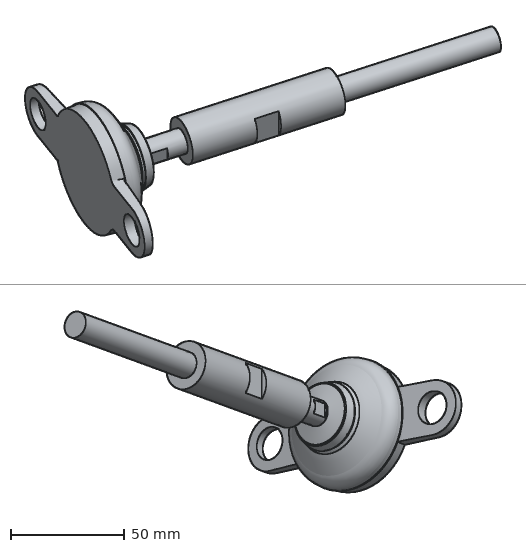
import cadquery as cq
import math


skirt_bottom_radius = 29.2
skirt_top_radius = 29.6
skirt_height = 6.3
rim_radius = 30.0
rim_top = 9.3
rim_top_radius = 29.8
shoulder_mid_radius = 28.6
shoulder_mid_height = 12.5
shoulder_radius = 25.2
shoulder_height = 15.2
slope_mid_radius = 21.1
slope_mid_height = 17.9
throat_radius = 16.5
throat_height = 19.9
neck_radius = 15.0
neck_start = 21.1

overall_width = 116.0
lug_radius = 12.5
lug_centre = overall_width / 2 - lug_radius
lug_hole_diameter = 15.0
lug_root_height = 5.9
lug_tip_height = 4.0
lug_root_fillet = 4.0

overall_length = 203.0
rod_radius = 12.0 / 2
collar_bottom = 22.3
collar_lip = 0.5
collar_bottom_radius = 15.6
collar_top = 27.2
collar_top_radius = 14.5
collar_edge_drop = 0.5
collar_edge_inset = 0.6
cone_top = 29.0
sleeve_bottom = 48.0
sleeve_length = 75.5
sleeve_top = sleeve_bottom + sleeve_length
sleeve_radius = 22.0 / 2

rod_flat_bottom = 30.0
rod_flat_length = 8.1
rod_flat_width = 10.2
sleeve_flat_length = 11.8
sleeve_flat_width = 17.0
sleeve_flat_bottom = sleeve_bottom + (sleeve_length - sleeve_flat_length) / 2


def revolve_about_y(half_profile):
    """Turn a closed profile of (radius, height) around the Y axis."""
    return half_profile.revolve(360, (0, 0, 0), (0, 1, 0))


def make_dome():
    profile = (
        cq.Workplane("XY")
        .lineTo(skirt_bottom_radius, 0)
        .lineTo(skirt_top_radius, skirt_height)
        .lineTo(rim_radius, skirt_height)
        .lineTo(rim_top_radius, rim_top)
        .threePointArc((shoulder_mid_radius, shoulder_mid_height), (shoulder_radius, shoulder_height))
        .threePointArc((slope_mid_radius, slope_mid_height), (throat_radius, throat_height))
        .lineTo(neck_radius, neck_start)
        .lineTo(neck_radius, collar_bottom)
        .lineTo(0, collar_bottom)
        .close()
    )
    return revolve_about_y(profile)


def make_lug_plate():
    """Slot-shaped plate with bolt holes, thinning from the skirt to its tips."""
    tip = overall_width / 2
    side = (
        cq.Workplane("XY")
        .polyline([
            (-tip, 0),
            (tip, 0),
            (tip, lug_tip_height),
            (skirt_bottom_radius, lug_root_height),
            (-skirt_bottom_radius, lug_root_height),
            (-tip, lug_tip_height),
        ])
        .close()
        .extrude(lug_radius, both=True)
    )
    outline = cq.Workplane("XZ").slot2D(overall_width, 2 * lug_radius).extrude(-skirt_height)
    holes = (
        cq.Workplane("XZ")
        .pushPoints([(-lug_centre, 0), (lug_centre, 0)])
        .circle(lug_hole_diameter / 2)
        .extrude(-skirt_height)
    )
    return side.intersect(outline).cut(holes)


def make_root_fillet(z_side):
    """Web rounding the corner between the skirt and the +X lug on one Z side."""
    centre_z = lug_radius + lug_root_fillet
    centre_distance = skirt_bottom_radius + lug_root_fillet
    centre_x = math.sqrt(centre_distance**2 - centre_z**2)
    skirt_ratio = skirt_bottom_radius / centre_distance
    skirt_x = centre_x * skirt_ratio
    skirt_z = centre_z * skirt_ratio
    start_angle = math.atan2(-centre_z, -centre_x)
    mid_angle = (start_angle - math.pi / 2) / 2
    mid_x = centre_x + lug_root_fillet * math.cos(mid_angle)
    mid_z = centre_z + lug_root_fillet * math.sin(mid_angle)
    return (
        cq.Workplane("XZ")
        .moveTo(centre_x, z_side * lug_radius)
        .threePointArc((mid_x, z_side * mid_z), (skirt_x, z_side * skirt_z))
        .lineTo(0, 0)
        .close()
        .extrude(-lug_root_height)
    )


def make_base():
    base = make_dome().union(make_lug_plate())
    for z_side in (-1, 1):
        base = base.union(make_root_fillet(z_side))
    return base


def cut_flats(body, bottom, length, width, body_radius):
    """Cut two opposite flats, leaving the given width along X."""
    depth = body_radius
    for x_side in (-1, 1):
        cutter = (
            cq.Workplane("XY")
            .box(depth, length, 2 * body_radius)
            .translate((x_side * (width + depth) / 2, bottom + length / 2, 0))
        )
        body = body.cut(cutter)
    return body


def make_spindle():
    profile = (
        cq.Workplane("XY")
        .moveTo(0, collar_bottom)
        .lineTo(collar_bottom_radius, collar_bottom)
        .lineTo(collar_bottom_radius, collar_bottom + collar_lip)
        .lineTo(collar_top_radius, collar_top - collar_edge_drop)
        .lineTo(collar_top_radius - collar_edge_inset, collar_top)
        .lineTo(rod_radius, cone_top)
        .lineTo(rod_radius, sleeve_bottom)
        .lineTo(sleeve_radius, sleeve_bottom)
        .lineTo(sleeve_radius, sleeve_top)
        .lineTo(rod_radius, sleeve_top)
        .lineTo(rod_radius, overall_length)
        .lineTo(0, overall_length)
        .close()
    )
    spindle = revolve_about_y(profile)
    spindle = cut_flats(spindle, rod_flat_bottom, rod_flat_length, rod_flat_width, rod_radius)
    return cut_flats(spindle, sleeve_flat_bottom, sleeve_flat_length, sleeve_flat_width, sleeve_radius)


base = make_base()
spindle = make_spindle()

result = cq.Compound.makeCompound([base.val(), spindle.val()])